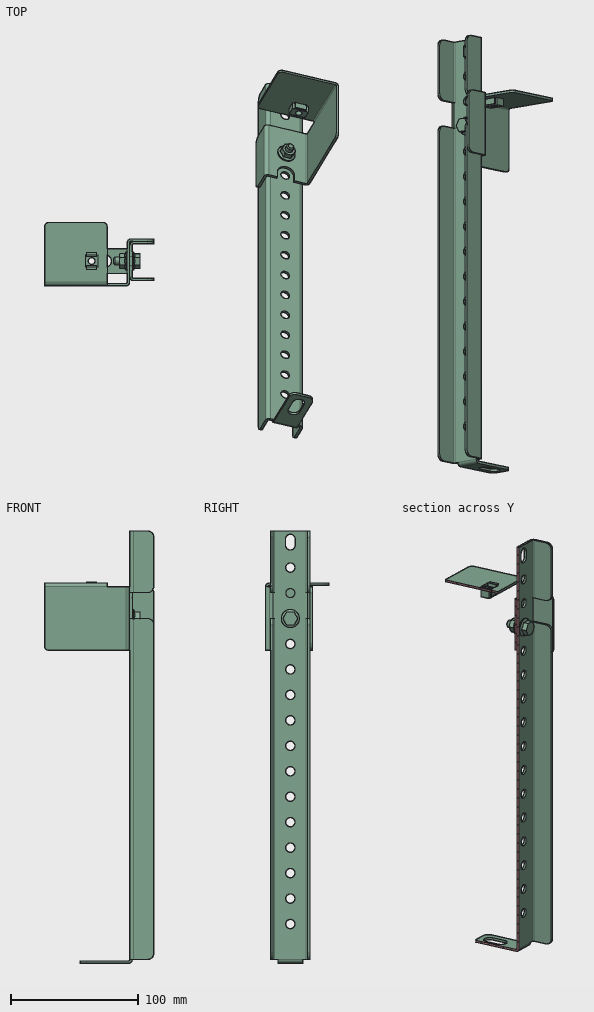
import cadquery as cq
import math


sheet = 2.0
inside_bend = 1.0
outside_bend = inside_bend + sheet
join_leg = outside_bend + sheet
corner_radius = 5.0

rail_height = 340.0
rail_width = 31.0
rail_depth = 19.0
lowest_hole = 31.0
hole_span = 300.2
hole_steps = 15
hole_pitch = hole_span / hole_steps
notch_height = 20.5
hole_diameter = 7.0
hanging_slot_width = 7.5
hanging_slot_length = 12.2

foot_width = 19.7
foot_reach = 39.0
foot_corner_radius = 5.0
foot_slot_width = 9.5
foot_slot_length = 20.0
foot_slot_x = -24.5

bolt_step = 12
bolt_z = lowest_hole + bolt_step * hole_pitch
thread_diameter = 6.0
tip_chamfer = 1.0
hex_across_flats = 10.2
hex_corner_diameter = hex_across_flats / math.cos(math.pi / 6)
hex_height = 6.0
nut_height = 6.0
flange_diameter = 14.3
flange_rim = 1.0
flange_height = 2.0
bolt_tip_x = -12.5
nut_bevel = 0.7

bracket_reach = 67.0
wing_height = 50.0
wing_top = bolt_z + wing_height / 2
wing_clearance = 4.0
wing_y = -rail_width / 2 - wing_clearance
far_flange_y = rail_width / 2 + sheet
plate_top = wing_top + outside_bend
plate_length = 49.3
plate_depth = 50.0
wing_corner_radius = 3.0
plate_corner_radius = 3.5
relief_radius = 7.0

cage_x = -30.0
opening_length = 10.0
opening_width = 9.5
cage_length = 7.8
cage_width = 13.3
cage_depth = 5.8
cage_floor = 1.0
lip_height = 0.7
lip_gap = 7.0
cage_bore = 5.0


def bent_angle(origin, leg_axis, normal, first_leg, second_leg, length):
    """Folded sheet with two legs; the origin is the sharp outer corner before bending."""
    plane = cq.Plane(origin=origin, xDir=leg_axis, normal=normal)
    return (
        cq.Workplane(plane)
        .moveTo(outside_bend, 0)
        .lineTo(first_leg, 0)
        .lineTo(first_leg, sheet)
        .lineTo(outside_bend, sheet)
        .radiusArc((sheet, outside_bend), inside_bend)
        .lineTo(sheet, second_leg)
        .lineTo(0, second_leg)
        .lineTo(0, outside_bend)
        .radiusArc((outside_bend, 0), -outside_bend)
        .close()
        .extrude(length)
    )


def rail_section(bottom, top):
    """Length of U channel with rounded free corners on both flanges."""
    half = rail_width / 2
    height = top - bottom
    near = bent_angle((0, -half, bottom), (1, 0, 0), (0, 0, 1), rail_depth, half, height)
    far = bent_angle((0, half, bottom), (0, -1, 0), (0, 0, 1), half, rail_depth, height)
    return near.union(far).edges(">X and |Y").fillet(corner_radius)


def make_rail():
    notch_top = bolt_z + notch_height
    rail = rail_section(outside_bend, bolt_z).union(rail_section(notch_top, rail_height))

    web = cq.Workplane("XY").box(sheet, rail_width - 2 * sheet, notch_height, centered=(False, True, False))
    rail = rail.union(web.translate((0, 0, bolt_z)))

    foot = bent_angle(
        (sheet, -foot_width / 2, 0), (-1, 0, 0), (0, 1, 0), foot_reach + sheet, join_leg, foot_width
    )
    foot = foot.edges("<X and |Z").fillet(foot_corner_radius)
    foot_slot = (
        cq.Workplane("XY").center(foot_slot_x, 0).slot2D(foot_slot_length, foot_slot_width).extrude(sheet)
    )
    rail = rail.union(foot.cut(foot_slot))

    web_face = cq.Workplane("YZ")
    holes = [(0, lowest_hole + step * hole_pitch) for step in range(hole_steps)]
    rail = rail.cut(web_face.pushPoints(holes).circle(hole_diameter / 2).extrude(sheet))
    hanging_slot = (
        web_face.center(0, lowest_hole + hole_span)
        .slot2D(hanging_slot_length, hanging_slot_width, 90)
        .extrude(sheet)
    )
    return rail.cut(hanging_slot)


def make_bracket():
    wing = bent_angle((0, wing_y, wing_top), (-1, 0, 0), (0, 0, -1), bracket_reach, -wing_y, wing_height)
    wing = wing.edges("<X and |Y").edges("<Z").fillet(wing_corner_radius)

    far_flange = bent_angle(
        (-sheet, far_flange_y, wing_top), (1, 0, 0), (0, 0, -1), rail_depth + sheet, far_flange_y, wing_height
    )
    far_flange = far_flange.edges(">X and |Y").fillet(corner_radius)

    plate = bent_angle(
        (-bracket_reach, wing_y, plate_top), (0, 0, -1), (1, 0, 0), join_leg, plate_depth, plate_length
    )
    plate = plate.edges(">Y and |Z").fillet(plate_corner_radius)
    bracket = wing.union(far_flange).union(plate)

    web_face = cq.Workplane("YZ", origin=(-sheet, 0, 0))
    bolt_hole = web_face.center(0, bolt_z).circle(hole_diameter / 2).extrude(sheet)
    relief_z = bolt_z - hole_pitch
    relief = web_face.center(0, relief_z).circle(relief_radius).extrude(sheet)
    relief_mouth = web_face.center(0, relief_z - relief_radius).rect(2 * relief_radius, 2 * relief_radius)
    bracket = bracket.cut(bolt_hole).cut(relief).cut(relief_mouth.extrude(sheet))

    opening = cq.Workplane("XY").box(opening_length, opening_width, sheet)
    return bracket.cut(opening.translate((cage_x, 0, plate_top - sheet / 2)))


def flanged_hex(seat_x, direction, height):
    """Hexagon on a round flange, standing on the plane X = seat_x."""
    plane = cq.Plane(origin=(seat_x, 0, bolt_z), xDir=(0, 1, 0), normal=(direction, 0, 0))
    seat = cq.Workplane(plane)
    hexagon = seat.polygon(6, hex_corner_diameter).extrude(height)
    rim = seat.circle(flange_diameter / 2).extrude(flange_rim)
    cone = (
        seat.workplane(offset=flange_rim)
        .circle(flange_diameter / 2)
        .workplane(offset=flange_height - flange_rim)
        .circle(hex_across_flats / 2)
        .loft()
    )
    return hexagon.union(rim).union(cone)


def thread_shank(start_x, end_x):
    return (
        cq.Workplane("YZ", origin=(start_x, 0, bolt_z)).circle(thread_diameter / 2).extrude(end_x - start_x)
    )


def make_bolt():
    shank = thread_shank(bolt_tip_x, sheet).faces("<X").chamfer(tip_chamfer)
    return flanged_hex(sheet, 1, hex_height).union(shank)


def make_nut():
    nut = flanged_hex(-sheet, -1, nut_height)
    envelope = cq.Workplane("YZ", origin=(-sheet, 0, bolt_z)).circle(flange_diameter / 2).extrude(-nut_height)
    bevel = (flange_diameter - hex_corner_diameter) / 2 + nut_bevel
    nut = nut.intersect(envelope.faces("<X").chamfer(bevel))
    return nut.cut(thread_shank(bolt_tip_x, sheet))


def centered_block(length, width, bottom, top):
    block = cq.Workplane("XY").box(length, width, top - bottom, centered=(True, True, False))
    return block.translate((0, 0, bottom))


def make_cage_nut():
    underside = plate_top - sheet
    cage = centered_block(cage_length, cage_width, -cage_depth, 0)
    nut_body = centered_block(opening_length, opening_width, cage_floor - cage_depth, 0)
    clip_walls = centered_block(cage_length, opening_width, 0, sheet)
    lips = centered_block(cage_length, cage_width, sheet, sheet + lip_height)
    clip_gap = centered_block(cage_length, lip_gap, 0, sheet + lip_height)
    bore = cq.Workplane("XY").circle(cage_bore / 2).extrude(-cage_depth)
    cage_nut = cage.union(nut_body).union(clip_walls).union(lips).cut(clip_gap).cut(bore)
    return cage_nut.translate((cage_x, 0, underside))


rail = make_rail()
bracket = make_bracket()
bolt = make_bolt()
nut = make_nut()
cage_nut = make_cage_nut()

result = cq.Compound.makeCompound([rail.val(), bracket.val(), bolt.val(), nut.val(), cage_nut.val()])